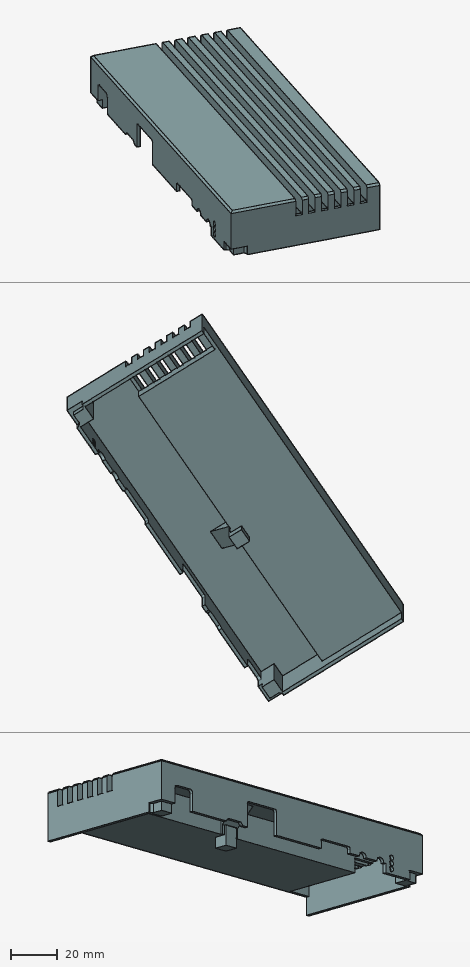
import cadquery as cq

LENGTH, WIDTH, HEIGHT = 156.9, 68.5, 22.1
WALL = 1.5
CEILING = 1.9
EDGE_CHAMFER = 1.0
OVERCUT = 1.5

SLOT_COUNT = 6
SLOT_WIDTH = 3.0
SLOT_PITCH = 6.0
SLOT_DEPTH = 7.8
FIRST_SLOT_Y = 29.8
SLAB_FRONT_Y = FIRST_SLOT_Y - WALL
SLAB_BOTTOM_Z = 8.0
SLAB_END_X = 144.3
FIN_ROOT = 0.3
FIN_BOTTOM_Z = HEIGHT - SLOT_DEPTH + FIN_ROOT

WALL_BOTTOM_Z = 2.7
PANEL_BOTTOM_Z = 4.1
LEFT_PORT = (8.2, 18.7, 12.2, 1.5)
MIDDLE_PORT = (51.8, 69.0, 14.1, 1.0)
RIGHT_PORT = (96.0, 113.3, 6.9, 1.0)
PANEL_END_X = 134.8
RELIEF_LEFT_X, RELIEF_RIGHT_X = 38.9, 49.0
RELIEF_HEIGHT = PANEL_BOTTOM_Z - WALL_BOTTOM_Z
BUTTON_XS = (121.0, 131.5)
BUTTON_RADIUS = 2.0
LED_X, LOWEST_LED_Z = 138.2, 2.4
LED_COUNT = 3
LED_PITCH = 2.5
LED_DIAMETER = 2.2

PILLAR_SIZE = LEFT_PORT[0]
FOOT_HEIGHT = 4.1
FOOT_DEPTH = 2.0
FOOT_STEP = 0.8
FOOT_LENGTH = 7.7
FOOT_SLANT = 1.0

BRACKET_X, BRACKET_WIDTH = 63.9, 9.1
BRACKET_DEPTH = 0.8
GUSSET_DEPTH = 9.4
GUSSET_BOTTOM_Z = 12.2
POST_X, POST_WIDTH = 65.3, 6.3
POST_DEPTH = 1.5
POST_BOTTOM_Z = 3.1


def box(x0, x1, y0, y1, z0, z1):
    """Box between two opposite corners."""
    return cq.Workplane("XY").box(x1 - x0, y1 - y0, z1 - z0, centered=False).translate((x0, y0, z0))


def through_front(outline):
    """Extrude an outline on the XZ plane through the front wall."""
    return outline.extrude(WALL + 2 * OVERCUT).translate((0, WALL + OVERCUT, 0))


def make_shell():
    """Hollow cover, open below, with its slab, pillars and a raised rear edge."""
    outer = box(0, LENGTH, 0, WIDTH, 0, HEIGHT)
    outer = outer.faces(">Z").edges("<X or >X or <Y").chamfer(EDGE_CHAMFER)
    ceiling_z = HEIGHT - CEILING
    right_inside = LENGTH - WALL
    rear_inside = WIDTH - WALL
    shell = outer.cut(box(WALL, right_inside, WALL, rear_inside, -OVERCUT, ceiling_z))
    shell = shell.cut(box(WALL, right_inside, rear_inside - OVERCUT, WIDTH + OVERCUT, -OVERCUT, SLAB_BOTTOM_Z))
    shell = shell.union(box(WALL, SLAB_END_X, SLAB_FRONT_Y, rear_inside, SLAB_BOTTOM_Z, ceiling_z))
    shell = shell.union(box(WALL, right_inside, SLAB_FRONT_Y, rear_inside, FIN_BOTTOM_Z, ceiling_z))
    for x0 in (WALL, LENGTH - PILLAR_SIZE):
        shell = shell.union(box(x0, x0 + PILLAR_SIZE - WALL, WALL, PILLAR_SIZE, 0, ceiling_z))
    return shell


def make_bracket():
    """Bracket with a sloping gusset under the ceiling, and a post reaching below the slab."""
    ceiling_z = HEIGHT - CEILING
    face_y = SLAB_FRONT_Y - BRACKET_DEPTH
    bracket = (
        cq.Workplane("YZ")
        .moveTo(SLAB_FRONT_Y, SLAB_BOTTOM_Z)
        .lineTo(face_y, SLAB_BOTTOM_Z)
        .lineTo(face_y, GUSSET_BOTTOM_Z)
        .lineTo(face_y - GUSSET_DEPTH, ceiling_z)
        .lineTo(SLAB_FRONT_Y, ceiling_z)
        .close()
        .extrude(BRACKET_WIDTH)
        .translate((BRACKET_X, 0, 0))
    )
    post = box(
        POST_X, POST_X + POST_WIDTH,
        SLAB_FRONT_Y - POST_DEPTH, SLAB_FRONT_Y + POST_WIDTH - POST_DEPTH,
        POST_BOTTOM_Z, GUSSET_BOTTOM_Z,
    )
    return bracket.union(post)


def slot_cutters():
    """Parallel slots running the full length of the top."""
    cutters = cq.Workplane("XY")
    for i in range(SLOT_COUNT):
        y0 = FIRST_SLOT_Y + i * SLOT_PITCH
        cutters = cutters.add(
            box(-OVERCUT, LENGTH + OVERCUT, y0, y0 + SLOT_WIDTH, HEIGHT - SLOT_DEPTH, HEIGHT + OVERCUT)
        )
    return cutters.combine()


def port_cutter(left, right, top, corner_radius):
    """Port opening with rounded upper corners, open at the bottom."""
    block = box(left, right, -OVERCUT, WALL + OVERCUT, -OVERCUT, top)
    return block.faces(">Z").edges("|Y").fillet(corner_radius)


def front_wall_cutters():
    """Everything that opens or trims the front wall."""
    y0, y1 = -OVERCUT, WALL + OVERCUT
    trim = box(LEFT_PORT[1], RIGHT_PORT[0], y0, y1, -OVERCUT, WALL_BOTTOM_Z)
    trim = trim.union(box(RIGHT_PORT[1], PANEL_END_X, y0, y1, -OVERCUT, PANEL_BOTTOM_Z))
    for port in (LEFT_PORT, MIDDLE_PORT, RIGHT_PORT):
        trim = trim.union(port_cutter(*port))
    relief = cq.Workplane("XZ").polyline([
        (RELIEF_LEFT_X, WALL_BOTTOM_Z),
        (RELIEF_LEFT_X + RELIEF_HEIGHT, WALL_BOTTOM_Z + RELIEF_HEIGHT),
        (RELIEF_RIGHT_X - RELIEF_HEIGHT, WALL_BOTTOM_Z + RELIEF_HEIGHT),
        (RELIEF_RIGHT_X, WALL_BOTTOM_Z),
    ]).close()
    buttons = cq.Workplane("XZ").pushPoints([(x, PANEL_BOTTOM_Z) for x in BUTTON_XS]).circle(BUTTON_RADIUS)
    led_points = [(LED_X, LOWEST_LED_Z + i * LED_PITCH) for i in range(LED_COUNT)]
    leds = cq.Workplane("XZ").pushPoints(led_points).circle(LED_DIAMETER / 2)
    for outline in (relief, buttons, leds):
        trim = trim.union(through_front(outline))
    return trim


def foot_recess(front_length, front_slant):
    """L-shaped recess round the foot at the left front corner."""
    side_start = FOOT_LENGTH - FOOT_SLANT
    return (
        cq.Workplane("XY")
        .polyline([
            (-OVERCUT, -OVERCUT),
            (front_length, -OVERCUT),
            (front_length, FOOT_STEP),
            (front_length - front_slant, FOOT_DEPTH),
            (FOOT_DEPTH, FOOT_DEPTH),
            (FOOT_DEPTH, side_start),
            (FOOT_STEP, FOOT_LENGTH),
            (-OVERCUT, FOOT_LENGTH),
        ])
        .close()
        .extrude(FOOT_HEIGHT + OVERCUT)
        .translate((0, 0, -OVERCUT))
    )


left_recess = foot_recess(LEFT_PORT[0], 0)
right_recess = foot_recess(FOOT_LENGTH, FOOT_SLANT).mirror("YZ").translate((LENGTH, 0, 0))

result = (
    make_shell()
    .union(make_bracket())
    .cut(slot_cutters())
    .cut(front_wall_cutters())
    .cut(left_recess)
    .cut(right_recess)
)